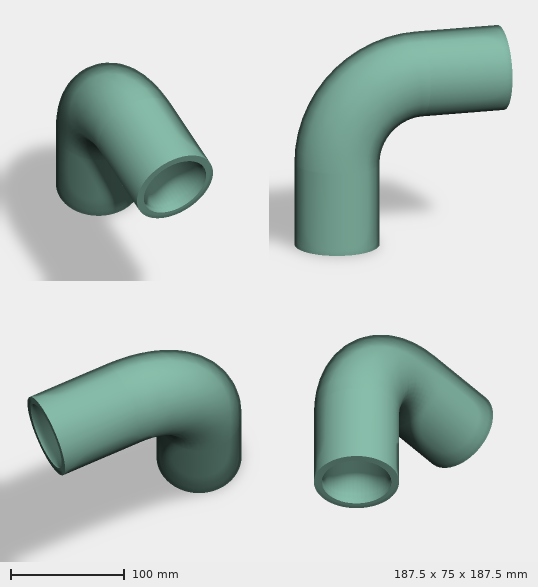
import cadquery as cq
import math

overall_size = 187.5
outer_diameter = 75.0
bore_diameter = 61.3
straight_length = 75.0

bend_radius = overall_size - straight_length - outer_diameter / 2
bend_mid_offset = bend_radius * math.cos(math.radians(45))

centreline = (
    cq.Workplane("XZ")
    .lineTo(0, straight_length)
    .threePointArc(
        (bend_radius - bend_mid_offset, straight_length + bend_mid_offset),
        (bend_radius, straight_length + bend_radius),
    )
    .lineTo(bend_radius + straight_length, straight_length + bend_radius)
)

result = (
    cq.Workplane("XY")
    .circle(outer_diameter / 2)
    .circle(bore_diameter / 2)
    .sweep(centreline)
)